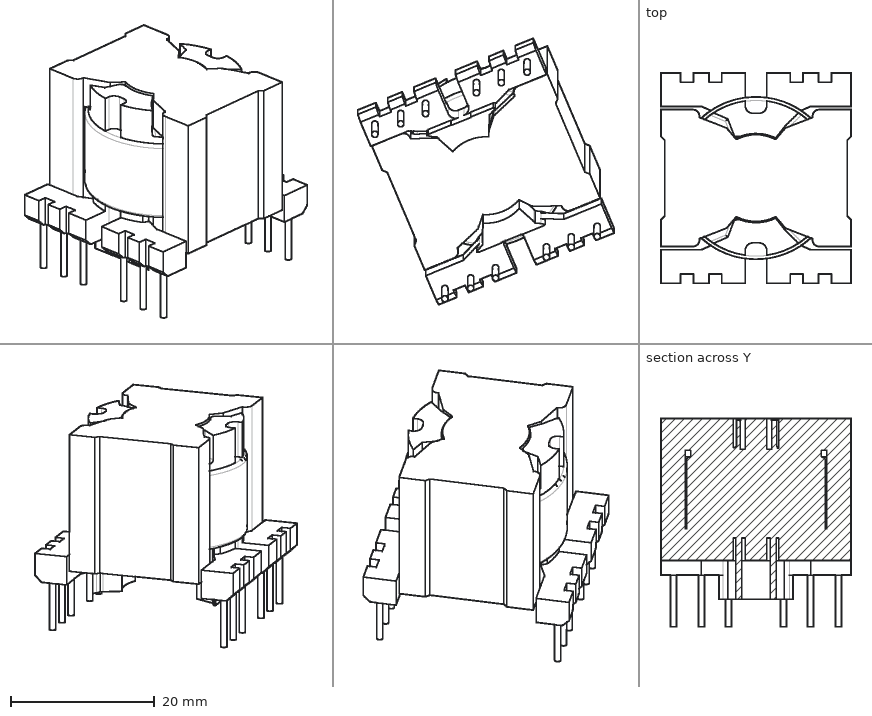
import cadquery as cq
import math

OVERALL_X = 26.5
OVERALL_Y = 29.3
OVERALL_Z = 29.05
half_x = OVERALL_X / 2
half_y = OVERALL_Y / 2

core_height = 19.8
core_top = OVERALL_Z
core_bottom = core_top - core_height
plate_thickness = 4.45
core_half_depth = 9.55
leg_edge_x = 7.85
leg_fillet = 0.97
leg_edge_y = 8.45
plate_bend = (4.1, 6.97)
post_radius = 6.05
post_meet_x = 2.72
chamber_radius = 11.45
side_groove_depth = 0.53
side_groove_half_floor = 5.27

winding_radius = 11.3
winding_bottom = 12.35
winding_top = 23.7
winding_fillet = 0.47

flange_radius = winding_radius - winding_fillet
flange_top = 24.75
block_top = 28.77
block_outer_x = 5.92
block_left_bend = (-3.93, 8.23)
block_left_end = (-3.02, 5.85)
block_right_bend = (4.0, 7.2)
block_right_end = (2.52, 5.27)
block_base_fillet = 0.45
bobbin_bore_radius = 6.2
slot_half_width = 1.5
slot_floor_y = 9.02
slot_corner_radius = 1.05

rail_bottom = 7.2
rail_top = 11.3
rail_inner_y = 9.95
rail_bend_x = 7.6
rail_chamfer = 0.97
wire_notch_depth = 1.3
wire_notch_width = 1.75
wire_notch_centers = (5.65, 9.6)
foot_bottom = 3.8
foot_outer_y = 9.08
foot_tip = (5.15, 9.0)
foot_rail_meet = (4.65, 8.65)
foot_corner_x = 4.9
strut_rim_x = 4.75
foot_waist_outer = (3.95, 8.3)
foot_waist_inner = (3.87, 8.0)
foot_inner = (2.72, 5.5)

pin_diameter = 0.88
pin_y = 12.65
pin_x_positions = (3.85, 7.6, 11.5)
pin_embed = 0.6

pick_margin = 0.03


def rim_y(x, radius):
    """Y of the point at the given X on a circle around the post axis."""
    return math.sqrt(radius**2 - x**2)


def prism(outline, bottom, top):
    """Vertical prism over a closed outline."""
    return outline.extrude(top - bottom).translate((0, 0, bottom))


def disk(radius, bottom, top):
    return prism(cq.Workplane("XY").circle(radius), bottom, top)


def both_ends(shape):
    """The shape together with its copy on the opposite Y side."""
    return shape.union(shape.mirror("XZ"))


def make_core():
    core = cq.Workplane("XY").box(OVERALL_X, 2 * core_half_depth, core_height, centered=(True, True, False))
    core = core.translate((0, 0, core_bottom))
    recess_outline = (
        cq.Workplane("XY")
        .moveTo(-leg_edge_x - leg_fillet, core_half_depth)
        .radiusArc((-leg_edge_x, core_half_depth - leg_fillet), leg_fillet)
        .lineTo(-leg_edge_x, leg_edge_y)
        .lineTo(-plate_bend[0], plate_bend[1])
        .lineTo(-post_meet_x, rim_y(post_meet_x, post_radius))
        .threePointArc((0, post_radius), (post_meet_x, rim_y(post_meet_x, post_radius)))
        .lineTo(*plate_bend)
        .lineTo(leg_edge_x, leg_edge_y)
        .lineTo(leg_edge_x, core_half_depth - leg_fillet)
        .radiusArc((leg_edge_x + leg_fillet, core_half_depth), leg_fillet)
        .close()
    )
    core = core.cut(both_ends(prism(recess_outline, core_bottom, core_top)))
    groove_half_mouth = side_groove_half_floor + side_groove_depth
    groove_outline = cq.Workplane("XY").polyline([
        (half_x, -groove_half_mouth),
        (half_x, groove_half_mouth),
        (half_x - side_groove_depth, side_groove_half_floor),
        (half_x - side_groove_depth, -side_groove_half_floor),
    ]).close()
    groove = prism(groove_outline, core_bottom, core_top)
    core = core.cut(groove).cut(groove.mirror("YZ"))
    return core.cut(disk(chamber_radius, core_bottom + plate_thickness, core_top - plate_thickness))


def make_winding():
    winding = disk(winding_radius, winding_bottom, winding_top)
    return winding.faces("<Z or >Z").edges().fillet(winding_fillet)


def beyond_rim(bend, side):
    """Point outside the flange on the block flank from the given bend through the rim."""
    rim_point = (side * block_outer_x, rim_y(block_outer_x, flange_radius))
    return tuple(2 * rim - start for rim, start in zip(rim_point, bend))


def make_upper_block():
    """Block standing on the +Y half of the upper flange, with filleted flanks."""
    left_outer = beyond_rim(block_left_bend, -1)
    right_outer = beyond_rim(block_right_bend, 1)
    outline = cq.Workplane("XY").polyline([
        block_left_end,
        block_left_bend,
        left_outer,
        (left_outer[0], half_y),
        (right_outer[0], half_y),
        right_outer,
        block_right_bend,
        block_right_end,
    ]).close()
    slab_height = flange_top - winding_top
    slab = cq.Workplane("XY").box(2 * OVERALL_X, 2 * OVERALL_Y, slab_height, centered=(True, True, False))
    block = slab.translate((0, 0, winding_top)).union(prism(outline, flange_top, block_top))
    flank_base = cq.selectors.BoxSelector(
        (-half_x, 0, flange_top - pick_margin), (half_x, half_y + 0.3, flange_top + pick_margin)
    )
    block = block.edges(flank_base).fillet(block_base_fillet)
    block = block.cut(disk(bobbin_bore_radius, flange_top, block_top))
    return block.intersect(disk(flange_radius, winding_top, block_top))


def make_slot():
    """Round-cornered slot open toward +Y."""
    depth = half_y - slot_floor_y
    slot = cq.Workplane("XY").box(2 * slot_half_width, depth, OVERALL_Z, centered=(True, False, False))
    slot = slot.edges("|Z and <Y").fillet(slot_corner_radius)
    return slot.translate((0, slot_floor_y, 0))


def cut_slots(shape, bottom, top):
    layer = cq.Workplane("XY").box(OVERALL_X, OVERALL_Y, top - bottom, centered=(True, True, False))
    slot = make_slot().intersect(layer.translate((0, 0, bottom)))
    return shape.cut(both_ends(slot))


def make_upper_bobbin():
    return cut_slots(both_ends(make_upper_block()), winding_top, block_top)


def strut_outline(outer_corner, outer_mid):
    """Symmetric outline of the strut, its outer side running through the given corner and middle."""
    right = [foot_inner, foot_waist_inner, foot_waist_outer, foot_rail_meet, foot_tip, outer_corner]
    left = [(-x, y) for x, y in right]
    outline = cq.Workplane("XY").moveTo(*right[0])
    for point in right[1:]:
        outline = outline.lineTo(*point)
    if outer_mid[1] > outer_corner[1]:
        outline = outline.threePointArc(outer_mid, left[-1])
    else:
        outline = outline.lineTo(*left[-1])
    for point in left[-2::-1]:
        outline = outline.lineTo(*point)
    return outline.threePointArc((0, math.hypot(*foot_inner)), foot_inner).close()


def make_rail():
    """Pin rail on the +X side of the +Y end."""
    outline = cq.Workplane("XY").polyline([
        (0, half_y),
        (half_x, half_y),
        (half_x, rail_inner_y),
        (rail_bend_x, rail_inner_y),
        foot_rail_meet,
        (0, foot_rail_meet[1]),
    ]).close()
    rail = prism(outline, rail_bottom, rail_top)
    rail = rail.edges("|X and >Y and <Z").chamfer(rail_chamfer)
    for x in wire_notch_centers:
        notch = cq.Workplane("XY").box(wire_notch_width, 2 * wire_notch_depth, OVERALL_Z)
        rail = rail.cut(notch.translate((x, half_y, 0)))
    return rail


def make_foot():
    """Strut, pair of rails and foot at the +Y end."""
    rim_point = (strut_rim_x, rim_y(strut_rim_x, flange_radius))
    rim_mid = (0, flange_radius)
    strut = prism(strut_outline(rim_point, rim_mid), rail_bottom, winding_bottom + winding_fillet)
    foot_corner = (foot_corner_x, foot_outer_y)
    foot_mid = (0, foot_outer_y)
    foot = prism(strut_outline(foot_corner, foot_mid), foot_bottom, rail_bottom)
    rail = make_rail()
    return strut.union(foot).union(rail).union(rail.mirror("YZ"))


def make_lower_bobbin():
    lower = both_ends(make_foot())
    foot_recess = cq.Workplane("XY").box(
        2 * slot_half_width, half_y - slot_floor_y, rail_bottom - foot_bottom, centered=(True, False, False)
    )
    lower = lower.cut(both_ends(foot_recess.translate((0, slot_floor_y, foot_bottom))))
    return cut_slots(lower, rail_bottom, winding_bottom)


def make_pins():
    pin_points = [
        (side_x * x, side_y * pin_y)
        for x in pin_x_positions
        for side_x in (-1, 1)
        for side_y in (-1, 1)
    ]
    pins = cq.Workplane("XY").pushPoints(pin_points).circle(pin_diameter / 2)
    return pins.extrude(rail_bottom + pin_embed)


result = (
    make_core()
    .union(make_winding())
    .union(make_upper_bobbin())
    .union(make_lower_bobbin())
    .union(make_pins())
)